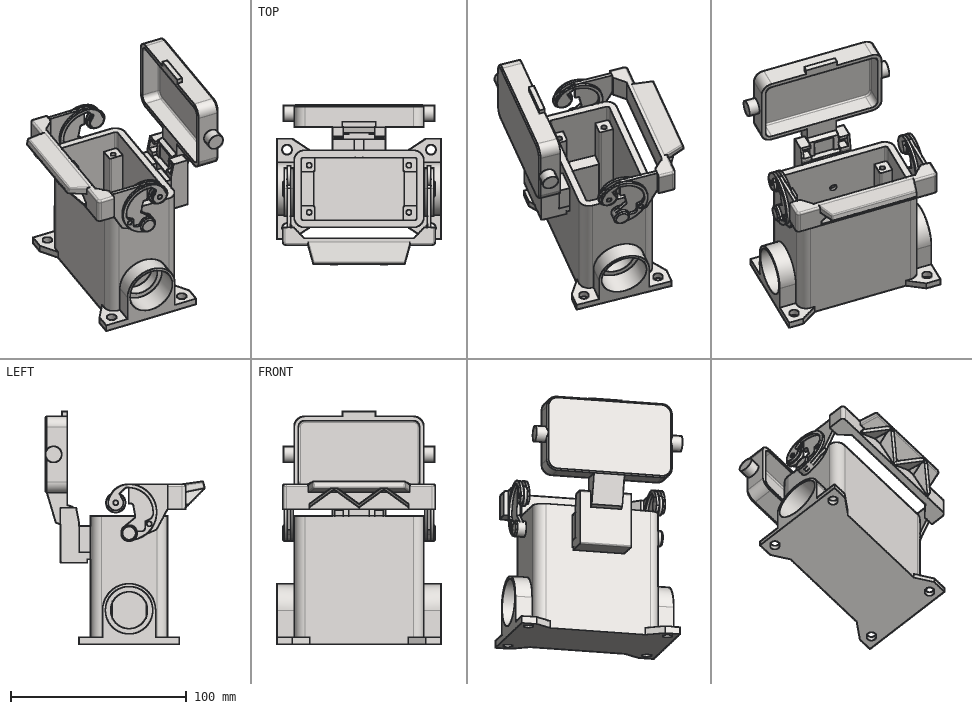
import cadquery as cq
import math

OVERLAP = 1.0

HOUSING_LENGTH = 74.0
HOUSING_WIDTH = 44.0
HOUSING_HEIGHT = 73.1
CORNER_RADIUS = 6.1

CAVITY_LENGTH = 66.0
CAVITY_WIDTH = 35.7
CAVITY_RADIUS = 1.5
FLOOR_THICKNESS = 4.1

POST_LENGTH = 7.7
POST_WIDTH = 8.2
POST_TOP = 61.5
POST_RADIUS = 1.0
POST_HOLE_X = 28.4
POST_HOLE_Y = 13.4
POST_HOLE_DIAMETER = 3.0
POST_HOLE_DEPTH = 12.0

EAR_HALF_LENGTH = 46.75
EAR_HALF_WIDTH = 28.6
EAR_END_X = 38.0
EAR_ROOT_X = 28.0
EAR_HOLE_X = 41.0
EAR_HOLE_Y = 22.3
EAR_HOLE_DIAMETER = 5.5

BOSS_RADIUS = 15.1
BORE_HEIGHT = 19.4
BORE_DIAMETER = 27.0
KNOCKOUT_DIAMETER = 21.0
KNOCKOUT_SKIN = 1.0
BORE_END_X = 33.4
LEDGE_INNER_X = 25.7

WALL_HOLE_Z = 52.4
WALL_HOLE_DIAMETER = 4.0
WALL_HOLE_DEPTH = 2.0

PAD_HALF_LENGTH = 15.1
PAD_GAP = 5.5
PAD_BACK = 28.4
PAD_BOTTOM = 52.5
PAD_TOP = 67.4

ARM_CENTRE_X = 40.0
PLATE_THICKNESS = 2.0
PLATE_NOTCH_Z = 80.1
PLATE_NOTCH_Y = -1.0
PLATE_NOTCH_RADIUS = 1.4
PLATE_THROAT = (-3.6, 72.3)
PLATE_HEEL = (-15.6, 65.3)
BAND_THICKNESS = 1.6
PIVOT_Z = 63.3
PIVOT_RADIUS = 3.0
PIVOT_HEAD_RADIUS = 4.6
PIVOT_HEAD_CHAMFER = 0.85
PIVOT_END_X = 43.5

ARM_TOP = 91.2
BAND_OUTER_RADIUS = 16.0
BAND_WIDTH = 2.0
BAND_LOWER_END = 250
BAND_LEAVES_PLATE = 231
BAND_CENTRE = (0.3, ARM_TOP - BAND_OUTER_RADIUS)
BAND_FOOT_EDGE = -9.2
BAND_FOOT_TOP = 64.3
BAND_FOOT_RADIUS = 2.2
BAND_SHOULDER_Z = 70.0
BAND_SHOULDER_END = (-12.6, 71.7)
BAND_SHOULDER_ANGLE = 186
HOOK_RADIUS = 11.6
HOOK_THROAT_START = 1.8
HOOK_THROAT_END = (5.4, 85.9)
ROLLER_CENTRE = (7.6, 80.6)
ROLLER_RADIUS = 5.6
BAND_END_RADIUS = 4.35
RIVET_CENTRE = (-11.5, 68.6)
RIVET_RADIUS = 1.4
RIVET_RECESS = 0.2

HANDLE_HALF_LENGTH = 43.5
HANDLE_BACK = -21.9
HANDLE_BAR_BACK = -28.0
HANDLE_FRONT = -32.2
HANDLE_BOTTOM = 76.85
CHEEK_INNER_X = 37.2
CHEEK_ROOT_X = 31.3
HANDLE_SIDE_FILLET = 2.1
HANDLE_TOP_FILLET = 1.2

FLAP_ROOT_HALF = 29.5
FLAP_TIP_HALF = 26.0
FLAP_ROOT_TOP = 90.9
FLAP_TIP_TOP = 92.9
FLAP_TIP_Y = -43.15
FLAP_ROOT_BOTTOM = 85.8
FLAP_TIP_BOTTOM = 88.9
FLAP_TIP_SLANT = 1.0
FLAP_STRAIGHT_Y = -30.5
FLAP_FILLET = 0.7

RIB_PITCH = 14.2
RIB_THICKNESS = 1.6
RIB_LOW_Z = 77.9
RIB_HIGH_Z = 88.2

LID_BACK = 47.8
LID_FRONT = 35.1
LID_BOTTOM = 86.4
LID_TOP = 129.9
LID_RIM = 2.5
LID_WALL = 2.2
LID_CAVITY_RADIUS = 3.6
LID_FLOOR_FILLET = 0.9
LID_BACK_CHAMFER = 0.9
LID_PIN_DIAMETER = 9.2
LID_PIN_Y = 43.0
LID_PIN_END_X = 43.1
TAB_LENGTH = 19.0
TAB_THICKNESS = 3.2
TAB_TOP = 132.7
NECK_HALF_LENGTH = 9.0
KNUCKLE_ROOT_Z = 79.3
KNUCKLE_NOSE = (32.0, 78.3)
NECK_TOE_Y = 31.2
NECK_HEEL = (41.8, 69.3)
NECK_RECESS_HALF = 5.9
NECK_RECESS_TOP = 77.4
NECK_RECESS_BACK = 32.0

HINGE_BACK = 39.2
HINGE_FRONT = PAD_BACK
HINGE_TOP_FRONT = 30.1
HINGE_TOP = 77.9
HINGE_SLOPE_START = 69.0
HINGE_BOTTOM = 46.4
HINGE_STEP_Z = 48.4
HINGE_STEP_Y = 23.8
HINGE_SLOT_FLOOR = 68.2
HINGE_EDGE_RADIUS = 0.8
POCKET_OUTER_X = 13.7
POCKET_BOTTOM = 70.5
POCKET_TOP = 76.2
POCKET_BACK = 34.0


def block(x0, x1, y0, y1, z0, z1):
    """Box given by its limits along the three axes."""
    return cq.Workplane("XY").box(x1 - x0, y1 - y0, z1 - z0, centered=False).translate((x0, y0, z0))


def disc(centre, radius, x0, x1):
    """Cylinder along X, with its centre given as (y, z)."""
    return cq.Workplane("YZ", origin=(x0, 0, 0)).center(*centre).circle(radius).extrude(x1 - x0)


def both_sides(shape):
    """The shape joined with its mirror image across the YZ plane."""
    return shape.union(shape.mirror("YZ"))


def make_ear_plate():
    """Mounting foot: two end strips with four tapered, drilled ears."""
    half_width = HOUSING_WIDTH / 2
    outline = [
        (-EAR_ROOT_X, -half_width),
        (-EAR_END_X, -EAR_HALF_WIDTH),
        (-EAR_HALF_LENGTH, -EAR_HALF_WIDTH),
        (-EAR_HALF_LENGTH, EAR_HALF_WIDTH),
        (-EAR_END_X, EAR_HALF_WIDTH),
        (-EAR_ROOT_X, half_width),
    ]
    ear = cq.Workplane("XY").polyline(outline).close().extrude(FLOOR_THICKNESS)
    holes = (
        cq.Workplane("XY")
        .pushPoints([(-EAR_HOLE_X, -EAR_HOLE_Y), (-EAR_HOLE_X, EAR_HOLE_Y)])
        .circle(EAR_HOLE_DIAMETER / 2)
        .extrude(FLOOR_THICKNESS)
    )
    return both_sides(ear.cut(holes))


def make_entry_boss():
    """Cable entry boss on the -X end, arched over a straight foot."""
    return (
        cq.Workplane("YZ", origin=(-EAR_HALF_LENGTH, 0, 0))
        .moveTo(-BOSS_RADIUS, 0)
        .lineTo(-BOSS_RADIUS, BORE_HEIGHT)
        .threePointArc((0, BORE_HEIGHT + BOSS_RADIUS), (BOSS_RADIUS, BORE_HEIGHT))
        .lineTo(BOSS_RADIUS, 0)
        .close()
        .extrude(EAR_HALF_LENGTH - HOUSING_LENGTH / 2 + OVERLAP)
    )


def make_cavity():
    """Inner space, leaving the four corner posts and the two entry ledges."""
    space = (
        cq.Workplane("XY", origin=(0, 0, FLOOR_THICKNESS))
        .rect(CAVITY_LENGTH, CAVITY_WIDTH)
        .extrude(HOUSING_HEIGHT)
        .edges("|Z")
        .fillet(CAVITY_RADIUS)
    )
    corners = [(sx * CAVITY_LENGTH / 2, sy * CAVITY_WIDTH / 2) for sx in (-1, 1) for sy in (-1, 1)]
    posts = (
        cq.Workplane("XY")
        .pushPoints(corners)
        .rect(2 * POST_LENGTH, 2 * POST_WIDTH)
        .extrude(POST_TOP)
        .edges("|Z")
        .fillet(POST_RADIUS)
    )
    ledge_half = CAVITY_WIDTH / 2 - POST_WIDTH
    ledge = block(
        -CAVITY_LENGTH / 2, -LEDGE_INNER_X, -ledge_half, ledge_half, 0, BORE_HEIGHT + BOSS_RADIUS
    )
    return space.cut(posts).cut(both_sides(ledge))


def make_entry_bore():
    """Stepped blind bore closed by a thin knock-out skin."""
    centre = (0, BORE_HEIGHT)
    wide = disc(centre, BORE_DIAMETER / 2, -EAR_HALF_LENGTH, -BORE_END_X)
    narrow = disc(centre, KNOCKOUT_DIAMETER / 2, -BORE_END_X, -LEDGE_INNER_X - KNOCKOUT_SKIN)
    return wide.union(narrow)


def make_post_holes():
    """Screw holes in the tops of the corner posts."""
    spots = [(sx * POST_HOLE_X, sy * POST_HOLE_Y) for sx in (-1, 1) for sy in (-1, 1)]
    return (
        cq.Workplane("XY", origin=(0, 0, POST_TOP - POST_HOLE_DEPTH))
        .pushPoints(spots)
        .circle(POST_HOLE_DIAMETER / 2)
        .extrude(POST_HOLE_DEPTH)
    )


def make_wall_hole():
    """Blind hole in the inner face of the +Y wall, behind the hinge pads."""
    return (
        cq.Workplane("XZ", origin=(0, CAVITY_WIDTH / 2 + WALL_HOLE_DEPTH, WALL_HOLE_Z))
        .circle(WALL_HOLE_DIAMETER / 2)
        .extrude(WALL_HOLE_DEPTH)
    )


def make_pivot():
    """Headed pin on the -X end that carries a lever arm."""
    centre = (0, PIVOT_Z)
    head_start = ARM_CENTRE_X + PLATE_THICKNESS / 2 + BAND_THICKNESS
    shank = disc(centre, PIVOT_RADIUS, -head_start, -HOUSING_LENGTH / 2 + OVERLAP)
    head = disc(centre, PIVOT_HEAD_RADIUS, -PIVOT_END_X, -head_start)
    return shank.union(head.faces("<X").chamfer(PIVOT_HEAD_CHAMFER))


def make_housing():
    body = (
        cq.Workplane("XY")
        .rect(HOUSING_LENGTH, HOUSING_WIDTH)
        .extrude(HOUSING_HEIGHT)
        .edges("|Z")
        .fillet(CORNER_RADIUS)
    )
    pad = block(-PAD_HALF_LENGTH, -PAD_GAP / 2, HOUSING_WIDTH / 2 - OVERLAP, PAD_BACK, PAD_BOTTOM, PAD_TOP)
    body = body.union(make_ear_plate()).union(both_sides(make_entry_boss())).union(both_sides(pad))
    body = body.cut(make_cavity()).cut(both_sides(make_entry_bore())).cut(make_post_holes())
    body = body.cut(make_wall_hole())
    return body.union(both_sides(make_pivot()))


def on_circle(centre, radius, degrees):
    """Point on a circle, with the angle measured from the first axis."""
    angle = math.radians(degrees)
    return (centre[0] + radius * math.cos(angle), centre[1] + radius * math.sin(angle))


def make_plate(x0):
    """Middle plate of the arm, between the pivot and the handle."""
    notch_centre = (PLATE_NOTCH_Y, PLATE_NOTCH_Z - PLATE_NOTCH_RADIUS)
    return (
        cq.Workplane("YZ", origin=(x0, 0, 0))
        .moveTo(HANDLE_BACK, ARM_TOP)
        .lineTo(BAND_CENTRE[0], ARM_TOP)
        .lineTo(BAND_CENTRE[0], PLATE_NOTCH_Z)
        .lineTo(notch_centre[0], PLATE_NOTCH_Z)
        .threePointArc(
            on_circle(notch_centre, PLATE_NOTCH_RADIUS, 135),
            on_circle(notch_centre, PLATE_NOTCH_RADIUS, 180),
        )
        .lineTo(*PLATE_THROAT)
        .lineTo(*on_circle((0, PIVOT_Z), PIVOT_HEAD_RADIUS, 45))
        .threePointArc((PIVOT_HEAD_RADIUS, PIVOT_Z), (0, PIVOT_Z - PIVOT_HEAD_RADIUS))
        .lineTo(*on_circle(BAND_CENTRE, BAND_OUTER_RADIUS, BAND_LOWER_END))
        .lineTo(*on_circle(BAND_CENTRE, BAND_OUTER_RADIUS, BAND_LEAVES_PLATE))
        .lineTo(*PLATE_HEEL)
        .lineTo(HANDLE_BACK, HANDLE_BOTTOM)
        .close()
        .extrude(PLATE_THICKNESS)
    )


def make_band(x0):
    """Curved strip from the roller, over the top, down to the pivot."""
    inner_radius = BAND_OUTER_RADIUS - BAND_WIDTH
    hook_centre = (BAND_CENTRE[0], ARM_TOP - HOOK_RADIUS)
    pivot = (0, PIVOT_Z)
    strip = (
        cq.Workplane("YZ", origin=(x0, 0, 0))
        .moveTo(BAND_CENTRE[0], ARM_TOP)
        .threePointArc(
            on_circle(BAND_CENTRE, BAND_OUTER_RADIUS, 180),
            on_circle(BAND_CENTRE, BAND_OUTER_RADIUS, BAND_LOWER_END),
        )
        .lineTo(*on_circle(pivot, PIVOT_HEAD_RADIUS, 270))
        .lineTo(*on_circle(pivot, PIVOT_HEAD_RADIUS, 90))
        .lineTo(BAND_FOOT_EDGE + PIVOT_HEAD_RADIUS, BAND_FOOT_TOP)
        .lineTo(BAND_FOOT_EDGE + BAND_FOOT_RADIUS, BAND_FOOT_TOP)
        .radiusArc((BAND_FOOT_EDGE, BAND_FOOT_TOP + BAND_FOOT_RADIUS), BAND_FOOT_RADIUS)
        .lineTo(BAND_FOOT_EDGE, BAND_SHOULDER_Z)
        .lineTo(*BAND_SHOULDER_END)
        .lineTo(*on_circle(BAND_CENTRE, inner_radius, BAND_SHOULDER_ANGLE))
        .threePointArc(
            on_circle(BAND_CENTRE, inner_radius, 135),
            on_circle(BAND_CENTRE, inner_radius, 90),
        )
        .lineTo(HOOK_THROAT_START, ARM_TOP - BAND_WIDTH)
        .lineTo(*HOOK_THROAT_END)
        .lineTo(*on_circle(ROLLER_CENTRE, BAND_END_RADIUS, 180))
        .lineTo(*on_circle(hook_centre, HOOK_RADIUS, 0))
        .threePointArc(on_circle(hook_centre, HOOK_RADIUS, 45), (BAND_CENTRE[0], ARM_TOP))
        .close()
        .extrude(BAND_THICKNESS)
    )
    x1 = x0 + BAND_THICKNESS
    ends = disc(ROLLER_CENTRE, BAND_END_RADIUS, x0, x1).union(disc(pivot, PIVOT_HEAD_RADIUS, x0, x1))
    return strip.union(ends)


def make_arm(side):
    """Lever arm of one end (side -1 or +1): plate and roller between two hooked bands."""
    plate_out = -ARM_CENTRE_X - PLATE_THICKNESS / 2
    plate_in = plate_out + PLATE_THICKNESS
    outside = plate_out - BAND_THICKNESS
    inside = plate_in + BAND_THICKNESS
    arm = make_plate(plate_out)
    arm = arm.union(make_band(outside)).union(make_band(plate_in))
    arm = arm.union(disc(ROLLER_CENTRE, ROLLER_RADIUS, plate_out, plate_in))
    for centre in (ROLLER_CENTRE, RIVET_CENTRE):
        arm = arm.cut(disc(centre, RIVET_RADIUS, outside, outside + RIVET_RECESS))
    arm = arm.cut(disc((0, PIVOT_Z), PIVOT_RADIUS, outside, inside))
    return arm if side < 0 else arm.mirror("YZ")


def make_handle_bar():
    """U-shaped bar joining the two arms, with softened outer edges."""
    half = [
        (-CHEEK_ROOT_X, HANDLE_BAR_BACK),
        (-CHEEK_INNER_X, HANDLE_BACK),
        (-HANDLE_HALF_LENGTH, HANDLE_BACK),
        (-HANDLE_HALF_LENGTH, HANDLE_FRONT),
    ]
    outline = half + [(-x, y) for x, y in reversed(half)]
    bar = (
        cq.Workplane("XY", origin=(0, 0, HANDLE_BOTTOM))
        .polyline(outline)
        .close()
        .extrude(ARM_TOP - HANDLE_BOTTOM)
    )
    bar = bar.edges("|Z and <Y").fillet(HANDLE_SIDE_FILLET)
    front_edge = cq.selectors.BoxSelector(
        (-HANDLE_HALF_LENGTH, HANDLE_FRONT - OVERLAP, ARM_TOP - OVERLAP),
        (HANDLE_HALF_LENGTH, HANDLE_FRONT + OVERLAP, ARM_TOP + OVERLAP),
    )
    return bar.edges(front_edge).fillet(HANDLE_TOP_FILLET)


def make_flap():
    """Finger flap rising slightly towards its narrower free end."""
    profile = [
        (HANDLE_BAR_BACK, FLAP_ROOT_TOP),
        (HANDLE_BAR_BACK, FLAP_ROOT_BOTTOM),
        (FLAP_TIP_Y, FLAP_TIP_BOTTOM),
        (FLAP_TIP_Y + FLAP_TIP_SLANT, FLAP_TIP_TOP),
    ]
    slab = (
        cq.Workplane("YZ", origin=(-FLAP_ROOT_HALF, 0, 0))
        .polyline(profile)
        .close()
        .extrude(2 * FLAP_ROOT_HALF)
    )
    plan = [
        (-FLAP_ROOT_HALF, HANDLE_BAR_BACK),
        (-FLAP_ROOT_HALF, FLAP_STRAIGHT_Y),
        (-FLAP_TIP_HALF, FLAP_TIP_Y),
        (FLAP_TIP_HALF, FLAP_TIP_Y),
        (FLAP_ROOT_HALF, FLAP_STRAIGHT_Y),
        (FLAP_ROOT_HALF, HANDLE_BAR_BACK),
    ]
    trim = (
        cq.Workplane("XY", origin=(0, 0, HANDLE_BOTTOM))
        .polyline(plan)
        .close()
        .extrude(FLAP_TIP_TOP - HANDLE_BOTTOM)
    )
    flap = slab.intersect(trim)
    free_edges = cq.selectors.BoxSelector(
        (-FLAP_ROOT_HALF, FLAP_TIP_Y - OVERLAP, HANDLE_BOTTOM),
        (FLAP_ROOT_HALF, HANDLE_FRONT, FLAP_TIP_TOP + OVERLAP),
    )
    return flap.edges(free_edges).fillet(FLAP_FILLET)


def make_ribs():
    """Zigzag stiffening ribs under the flap, cut off along a slope."""
    lower = [(i * RIB_PITCH, RIB_HIGH_Z if i % 2 else RIB_LOW_Z) for i in range(-2, 3)]
    rise = RIB_THICKNESS * math.hypot(RIB_PITCH, RIB_HIGH_Z - RIB_LOW_Z) / RIB_PITCH
    upper = [(x, z + rise) for x, z in reversed(lower)]
    zigzag = (
        cq.Workplane("XZ", origin=(0, HANDLE_BAR_BACK, 0))
        .polyline(lower + upper)
        .close()
        .extrude(HANDLE_BAR_BACK - FLAP_TIP_Y)
    )
    wedge = (
        cq.Workplane("YZ", origin=(-FLAP_ROOT_HALF, 0, 0))
        .polyline(
            [
                (HANDLE_BAR_BACK, FLAP_ROOT_TOP),
                (HANDLE_BAR_BACK, RIB_LOW_Z),
                (HANDLE_FRONT, RIB_LOW_Z),
                (FLAP_TIP_Y, FLAP_TIP_BOTTOM),
            ]
        )
        .close()
        .extrude(2 * FLAP_ROOT_HALF)
    )
    return zigzag.intersect(wedge)


def make_handle():
    return make_handle_bar().union(make_flap()).union(make_ribs())


def make_lid_shell():
    """Shallow tray that stands open, its mouth facing -Y."""
    mid_z = (LID_BOTTOM + LID_TOP) / 2
    height = LID_TOP - LID_BOTTOM
    shell = (
        cq.Workplane("XZ", origin=(0, LID_BACK, mid_z))
        .rect(HOUSING_LENGTH, height)
        .extrude(LID_BACK - LID_FRONT)
        .edges("|Y")
        .fillet(CORNER_RADIUS)
        .faces(">Y")
        .chamfer(LID_BACK_CHAMFER)
    )
    cavity = (
        cq.Workplane("XZ", origin=(0, LID_BACK - LID_WALL, mid_z))
        .rect(HOUSING_LENGTH - 2 * LID_RIM, height - 2 * LID_RIM)
        .extrude(LID_BACK - LID_WALL - LID_FRONT)
        .edges("|Y")
        .fillet(LID_CAVITY_RADIUS)
        .faces(">Y")
        .edges()
        .fillet(LID_FLOOR_FILLET)
    )
    return shell.cut(cavity)


def make_lid_pin():
    """Stub on the -X end that the lever roller catches."""
    centre = (LID_PIN_Y, (LID_BOTTOM + LID_TOP) / 2)
    return disc(centre, LID_PIN_DIAMETER / 2, -LID_PIN_END_X, -HOUSING_LENGTH / 2 + OVERLAP)


def make_neck():
    """Tapered neck with a forward knuckle that sits in the hinge slot."""
    profile = [
        (LID_FRONT, LID_BOTTOM + OVERLAP),
        (LID_FRONT, KNUCKLE_ROOT_Z),
        KNUCKLE_NOSE,
        (NECK_TOE_Y, HINGE_SLOT_FLOOR),
        (HINGE_BACK, HINGE_SLOT_FLOOR),
        NECK_HEEL,
        (LID_BACK - LID_BACK_CHAMFER, LID_BOTTOM),
        (LID_BACK - LID_BACK_CHAMFER, LID_BOTTOM + OVERLAP),
    ]
    neck = (
        cq.Workplane("YZ", origin=(-NECK_HALF_LENGTH, 0, 0))
        .polyline(profile)
        .close()
        .extrude(2 * NECK_HALF_LENGTH)
    )
    recess = block(
        -NECK_RECESS_HALF,
        NECK_RECESS_HALF,
        HINGE_FRONT,
        NECK_RECESS_BACK,
        HINGE_SLOT_FLOOR,
        NECK_RECESS_TOP,
    )
    return neck.cut(recess)


def make_lid():
    tab = block(
        -TAB_LENGTH / 2, TAB_LENGTH / 2, LID_FRONT, LID_FRONT + TAB_THICKNESS, LID_TOP - OVERLAP, TAB_TOP
    )
    return make_lid_shell().union(both_sides(make_lid_pin())).union(tab).union(make_neck())


def make_hinge():
    """Hinge block hooked under the housing pads and slotted for the neck."""
    profile = [
        (HINGE_BACK, HINGE_BOTTOM),
        (HINGE_BACK, HINGE_TOP),
        (HINGE_TOP_FRONT, HINGE_TOP),
        (HINGE_FRONT, HINGE_SLOPE_START),
        (HINGE_FRONT, PAD_BOTTOM),
        (HOUSING_WIDTH / 2, PAD_BOTTOM),
        (HOUSING_WIDTH / 2, HINGE_STEP_Z),
        (HINGE_STEP_Y, HINGE_STEP_Z),
        (HINGE_STEP_Y, HINGE_BOTTOM),
    ]
    body = (
        cq.Workplane("YZ", origin=(-PAD_HALF_LENGTH, 0, 0))
        .polyline(profile)
        .close()
        .extrude(2 * PAD_HALF_LENGTH)
        .edges("|X and >Y")
        .fillet(HINGE_EDGE_RADIUS)
    )
    slot = block(
        -NECK_HALF_LENGTH, NECK_HALF_LENGTH, HINGE_FRONT, HINGE_BACK, HINGE_SLOT_FLOOR, HINGE_TOP
    )
    pockets = block(
        -POCKET_OUTER_X, POCKET_OUTER_X, HINGE_FRONT, POCKET_BACK, POCKET_BOTTOM, POCKET_TOP
    )
    return body.cut(slot).cut(pockets)


housing = make_housing()
arms = [make_arm(side) for side in (-1, 1)]
handle = make_handle()
lid = make_lid()
hinge = make_hinge()

bodies = [housing, *arms, handle, lid, hinge]
result = cq.Compound.makeCompound([body.solids().val() for body in bodies])